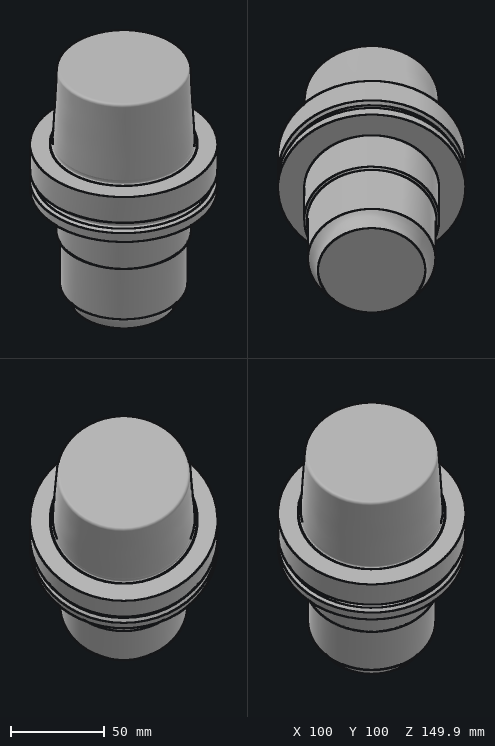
import cadquery as cq
import math

total_height = 149.9
flange_top = 100.0
flange_bottom = 70.9
step_height = 43.8
nose_top = 9.7
nose_land = 0.7

shank_radius = 36.0
lower_shank_radius = 34.0
nose_radius = 28.6
nose_sag = 0.6
step_fillet = 0.6
step_slope_drop = 1.0

flange_radius = 100.0 / 2
groove_floor_radius = 46.2
groove_top = 83.2
groove_bottom = 76.6
groove_slope_height = 1.3
groove_slope_width = 2.2
groove_fillet = 0.7

taper_base_radius = 37.9
taper_top_radius = 35.7
taper_fillet = 2.0

relief_top = 102.4
relief_depth = 0.1
relief_slope = 0.9
relief_fillet = 1.0
face_recess_radius = 39.4
face_recess_depth = 0.5
face_recess_chamfer = 0.5

DIAGONAL = math.sqrt(0.5)


def fillet_midpoint(center_radius, center_height, radius, radius_sign, height_sign):
    """Middle point of a quarter arc, in the given quadrant of its centre."""
    offset = radius * DIAGONAL
    return center_radius + radius_sign * offset, center_height + height_sign * offset


def add_shank(profile):
    """Nose with a hollow curved flank, then two stepped cylinders."""
    flank_middle = (
        (nose_radius + lower_shank_radius) / 2 - nose_sag,
        (nose_land + nose_top) / 2 + nose_sag,
    )
    step_corner = step_height - step_slope_drop
    step_middle = fillet_midpoint(
        lower_shank_radius + step_fillet, step_corner - step_fillet, step_fillet, -1, 1
    )
    return (
        profile.lineTo(nose_radius, 0)
        .lineTo(nose_radius, nose_land)
        .threePointArc(flank_middle, (lower_shank_radius, nose_top))
        .lineTo(lower_shank_radius, step_corner - step_fillet)
        .threePointArc(step_middle, (lower_shank_radius + step_fillet, step_corner))
        .lineTo(shank_radius, step_height)
        .lineTo(shank_radius, flange_bottom)
    )


def add_flange(profile):
    """Flange with a slope-sided groove whose floor corners are rounded."""
    lower_wall = groove_bottom + groove_slope_height
    upper_wall = groove_top - groove_slope_height
    wall_outer_radius = flange_radius - groove_slope_width
    wall_inner_radius = groove_floor_radius + groove_fillet
    lower_center = lower_wall + groove_fillet
    upper_center = upper_wall - groove_fillet
    lower_middle = fillet_midpoint(wall_inner_radius, lower_center, groove_fillet, -1, -1)
    upper_middle = fillet_midpoint(wall_inner_radius, upper_center, groove_fillet, -1, 1)
    return (
        profile.lineTo(flange_radius, flange_bottom)
        .lineTo(flange_radius, groove_bottom)
        .lineTo(wall_outer_radius, lower_wall)
        .lineTo(wall_inner_radius, lower_wall)
        .threePointArc(lower_middle, (groove_floor_radius, lower_center))
        .lineTo(groove_floor_radius, upper_center)
        .threePointArc(upper_middle, (wall_inner_radius, upper_wall))
        .lineTo(wall_outer_radius, upper_wall)
        .lineTo(flange_radius, groove_top)
        .lineTo(flange_radius, flange_top)
    )


def add_taper(profile):
    """Recessed flange face, relief at the taper foot, and the plain taper."""
    recess_floor = flange_top - face_recess_depth
    relief_radius = taper_base_radius - relief_depth
    fillet_outer_radius = relief_radius + relief_fillet
    fillet_top = recess_floor + relief_fillet
    fillet_middle = fillet_midpoint(fillet_outer_radius, fillet_top, relief_fillet, -1, -1)
    return (
        profile.lineTo(face_recess_radius, flange_top)
        .lineTo(face_recess_radius - face_recess_chamfer, recess_floor)
        .lineTo(fillet_outer_radius, recess_floor)
        .threePointArc(fillet_middle, (relief_radius, fillet_top))
        .lineTo(relief_radius, relief_top - relief_slope)
        .lineTo(taper_base_radius, relief_top)
        .lineTo(taper_top_radius, total_height)
        .lineTo(0, total_height)
    )


outline = cq.Workplane("XZ").moveTo(0, 0)
outline = add_shank(outline)
outline = add_flange(outline)
outline = add_taper(outline)
body = outline.close().revolve(360, (0, 0, 0), (0, 1, 0))

result = body.faces(">Z").edges().fillet(taper_fillet)